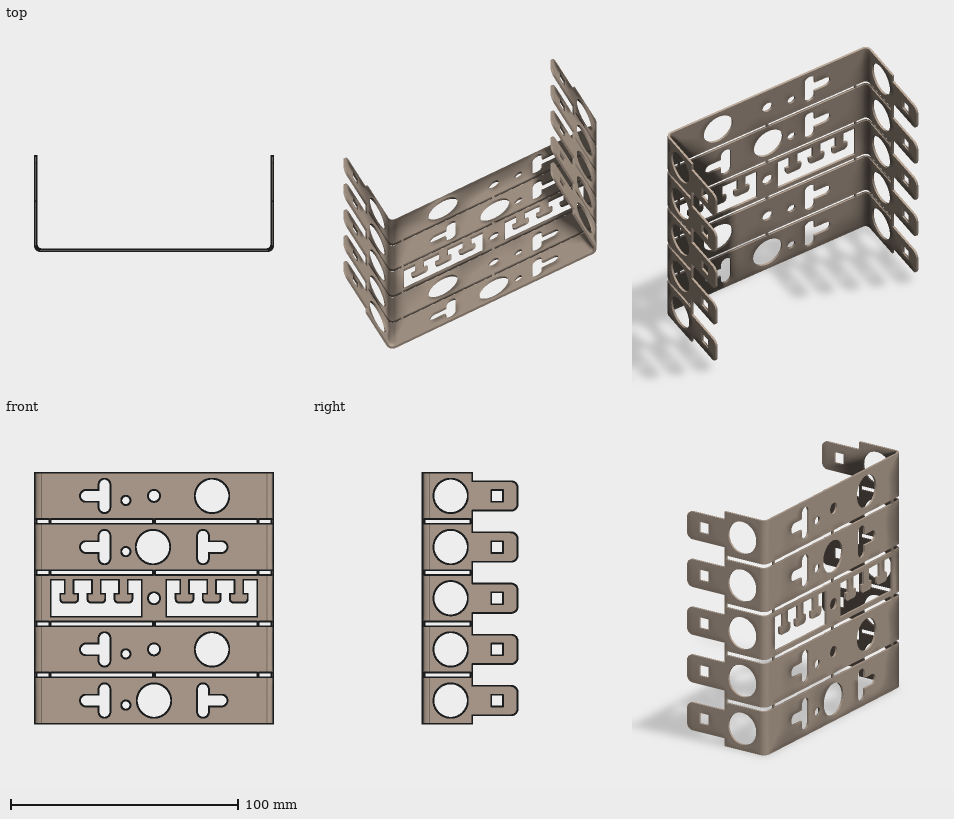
import cadquery as cq

WIDTH = 105.0
DEPTH = 42.0
HEIGHT = 110.5
THICKNESS = 1.0
BEND_RADIUS = 3.0

STRIP_COUNT = 5
BREAK_GAP = 2.0
STRIP_HEIGHT = (HEIGHT - (STRIP_COUNT - 1) * BREAK_GAP) / STRIP_COUNT
STRIP_PITCH = STRIP_HEIGHT + BREAK_GAP

CENTER_BRIDGE = 1.0
SIDE_BRIDGE = 0.8
LONG_SLOT_END = 45.3

LEG_STEP = 22.0
LEG_BRIDGE = 0.9
TAB_HEIGHT = 13.0
TAB_CORNER = 3.0
TAB_SQUARE = 5.1
TAB_SQUARE_Y = 32.9
LEG_HOLE_Y = 12.5

LARGE_HOLE = 15.0
OFFSET_LARGE_HOLE_X = 25.5
SECOND_STRIP_HOLE_X = -0.4
CENTER_HOLE = 5.2
PILOT_HOLE = 4.0
PILOT_X = -12.4
PILOT_DROP = 2.0

T_PAIR_CENTER_X = -0.1
T_SLOT_WIDTH = 5.1
T_SLOT_HEIGHT = 15.0
T_SLOT_X = 21.7
T_SLOT_TIP = 32.4
T_ARM_WIDTH = 5.1

WINDOW_INNER = 5.4
WINDOW_HEIGHT = 16.1
HOOK_COUNT = 3
HOOK_PITCH = 11.9
HOOK_STEM = 4.0
HOOK_HEAD = 8.0
HOOK_HEAD_HEIGHT = 4.0
HOOK_CORNER = 1.8

STRIP_CENTERS = [
    ((STRIP_COUNT - 1) / 2 - index) * STRIP_PITCH for index in range(STRIP_COUNT)
]
BREAK_CENTERS = [z - STRIP_PITCH / 2 for z in STRIP_CENTERS[:-1]]
INSIDE_X = WIDTH / 2 - THICKNESS


def box(x_min, x_max, y_min, y_max, z_min, z_max):
    """Block given by its limits along each axis."""
    return cq.Workplane("XY").box(
        x_max - x_min, y_max - y_min, z_max - z_min, centered=False
    ).translate((x_min, y_min, z_min))


def through_web(sketch):
    """Extrude a profile drawn in XZ through the web, starting at its front face."""
    return sketch.extrude(-THICKNESS)


def web_plane(x, z):
    return cq.Workplane("XZ").center(x, z)


def leg_plane(y, z):
    """Plane on the outer face of the -X leg, with Y and Z as its axes."""
    return cq.Workplane("YZ", origin=(-WIDTH / 2, 0, 0)).center(y, z)


def make_folded_sheet():
    """U-shaped sheet with rounded folds, full height up to the end of the legs."""
    outside = box(-WIDTH / 2, WIDTH / 2, 0, DEPTH, -HEIGHT / 2, HEIGHT / 2)
    inside = box(-INSIDE_X, INSIDE_X, THICKNESS, DEPTH, -HEIGHT / 2, HEIGHT / 2)
    outside = outside.edges("|Z and <Y").fillet(BEND_RADIUS)
    inside = inside.edges("|Z and <Y").fillet(BEND_RADIUS - THICKNESS)
    return outside.cut(inside)


def make_tab_cutter():
    """Removes everything beyond the leg step except the rounded tabs."""
    cutter = box(-WIDTH / 2, WIDTH / 2, LEG_STEP, DEPTH, -HEIGHT / 2, HEIGHT / 2)
    for z in STRIP_CENTERS:
        tab = box(
            -WIDTH / 2, WIDTH / 2, LEG_STEP, DEPTH, z - TAB_HEIGHT / 2, z + TAB_HEIGHT / 2
        )
        cutter = cutter.cut(tab.edges("|X and >Y").fillet(TAB_CORNER))
    return cutter


def make_leg_holes(z):
    """Round hole and square tab hole, running through both legs."""
    round_hole = leg_plane(LEG_HOLE_Y, z).circle(LARGE_HOLE / 2).extrude(WIDTH)
    square_hole = leg_plane(TAB_SQUARE_Y, z).rect(TAB_SQUARE, TAB_SQUARE).extrude(WIDTH)
    return round_hole.union(square_hole)


def make_break_slots(z):
    """Two long slots in the web and one slot around each fold."""
    bottom = z - BREAK_GAP / 2
    top = z + BREAK_GAP / 2
    long_slot = box(CENTER_BRIDGE / 2, LONG_SLOT_END, 0, THICKNESS, bottom, top)
    fold_slot = box(
        LONG_SLOT_END + SIDE_BRIDGE, WIDTH / 2, 0, LEG_STEP - LEG_BRIDGE, bottom, top
    )
    one_side = long_slot.union(fold_slot)
    return one_side.union(one_side.mirror("YZ"))


def make_round_hole(x, z, diameter):
    return through_web(web_plane(x, z).circle(diameter / 2))


def make_t_slot(side, z):
    """Upright slot with a round-ended arm; side is -1 for an arm towards -X, 1 for +X."""
    upright = through_web(
        web_plane(T_PAIR_CENTER_X + side * T_SLOT_X, z).slot2D(T_SLOT_HEIGHT, T_SLOT_WIDTH, 90)
    )
    arm_length = T_SLOT_TIP - T_SLOT_X + T_ARM_WIDTH / 2
    arm_x = T_PAIR_CENTER_X + side * (T_SLOT_TIP - arm_length / 2)
    arm = through_web(web_plane(arm_x, z).slot2D(arm_length, T_ARM_WIDTH))
    return upright.union(arm)


def make_hook(x, z):
    """T-shaped hook hanging from the top edge of a window."""
    head = box(
        x - HOOK_HEAD / 2, x + HOOK_HEAD / 2, 0, THICKNESS,
        z - HOOK_HEAD_HEIGHT / 2, z + HOOK_HEAD_HEIGHT / 2,
    )
    head = head.edges("|Y and <Z").fillet(HOOK_CORNER)
    stem = box(x - HOOK_STEM / 2, x + HOOK_STEM / 2, 0, THICKNESS, z, z + WINDOW_HEIGHT / 2)
    return head.union(stem)


def make_window(side, z):
    """Rectangular opening that leaves its hooks standing."""
    center_x = side * (WINDOW_INNER + LONG_SLOT_END) / 2
    window = through_web(
        web_plane(center_x, z).rect(LONG_SLOT_END - WINDOW_INNER, WINDOW_HEIGHT)
    )
    for index in range(HOOK_COUNT):
        hook_x = center_x + (index - (HOOK_COUNT - 1) / 2) * HOOK_PITCH
        window = window.cut(make_hook(hook_x, z))
    return window


def make_single_t_strip(z):
    """Openings of a strip with one T-slot, a central hole and an offset large hole."""
    return [
        make_t_slot(-1, z),
        make_round_hole(PILOT_X, z - PILOT_DROP, PILOT_HOLE),
        make_round_hole(0, z, CENTER_HOLE),
        make_round_hole(OFFSET_LARGE_HOLE_X, z, LARGE_HOLE),
    ]


def make_double_t_strip(z, large_hole_x):
    """Openings of a strip with a T-slot on both sides of a large hole."""
    return [
        make_t_slot(-1, z),
        make_t_slot(1, z),
        make_round_hole(PILOT_X, z - PILOT_DROP, PILOT_HOLE),
        make_round_hole(large_hole_x, z, LARGE_HOLE),
    ]


def make_window_strip(z):
    """Openings of the middle strip: two hooked windows and a central hole."""
    return [make_window(-1, z), make_window(1, z), make_round_hole(0, z, CENTER_HOLE)]


first, second, third, fourth, fifth = STRIP_CENTERS
cutters = [make_tab_cutter()]
cutters += [make_leg_holes(z) for z in STRIP_CENTERS]
cutters += [make_break_slots(z) for z in BREAK_CENTERS]
cutters += make_single_t_strip(first)
cutters += make_double_t_strip(second, SECOND_STRIP_HOLE_X)
cutters += make_window_strip(third)
cutters += make_single_t_strip(fourth)
cutters += make_double_t_strip(fifth, 0)

result = make_folded_sheet()
for cutter in cutters:
    result = result.cut(cutter)
result = result.translate((0, -DEPTH / 2, 0))